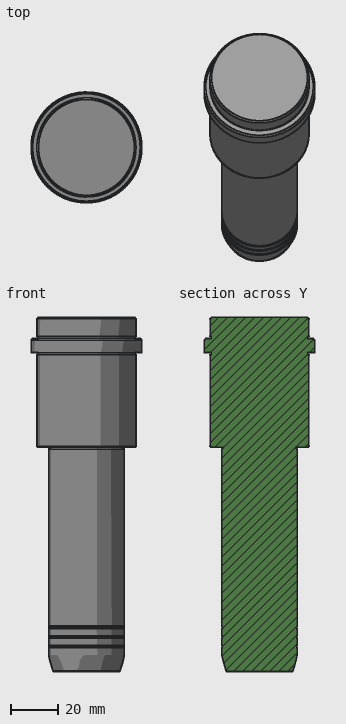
import cadquery as cq

length = 150.0
collar_diameter = 47.0
collar_radius = collar_diameter / 2
body_radius = 21.0
pin_radius = 16.0

collar_top = 141.0
collar_bottom = 135.0
body_bottom = 95.0

edge_chamfer = 0.5
upper_chamfer = 0.8
undercut_width = 0.9
undercut_depth = 0.5

lead_in_height = 7.0
tip_radius = 14.2
lead_in_mid_radius = 15.3

groove_count = 3
groove_pitch = 4.0
lowest_groove = 10.6
groove_width = 1.2
groove_depth = 0.3


def cylinder(radius, bottom, top):
    """Solid cylinder on the Z axis between two heights."""
    return cq.Workplane("XY").workplane(offset=bottom).circle(radius).extrude(top - bottom)


def make_pin():
    """Long pin with a rounded lead-in that ends in a small chamfer."""
    lead_in_mid = (lead_in_mid_radius, (edge_chamfer + lead_in_height) / 2)
    return (
        cq.Workplane("XZ")
        .lineTo(tip_radius - edge_chamfer, 0)
        .lineTo(tip_radius, edge_chamfer)
        .threePointArc(lead_in_mid, (pin_radius, lead_in_height))
        .lineTo(pin_radius, body_bottom - upper_chamfer)
        .lineTo(pin_radius - upper_chamfer, body_bottom)
        .lineTo(0, body_bottom)
        .close()
        .revolve(360, (0, 0), (0, 1))
    )


def make_head():
    """Body, collar and cap, joined through the undercuts."""
    neck = cylinder(body_radius - undercut_depth, body_bottom + edge_chamfer, length - upper_chamfer)
    body = cylinder(body_radius, body_bottom, collar_bottom - undercut_width)
    collar = cylinder(collar_radius, collar_bottom, collar_top)
    cap = cylinder(body_radius, collar_top + undercut_width, length)
    body = body.faces("<Z").chamfer(edge_chamfer)
    collar = collar.faces(">Z").chamfer(upper_chamfer)
    cap = cap.faces(">Z").chamfer(upper_chamfer)
    return neck.union(body).union(collar).union(cap)


def groove_cutter(height):
    """Ring with a V section that opens at the pin surface."""
    half_width = groove_width / 2
    return (
        cq.Workplane("XZ")
        .moveTo(pin_radius - groove_depth, height)
        .lineTo(pin_radius, height + half_width)
        .lineTo(pin_radius + groove_depth, height + half_width)
        .lineTo(pin_radius + groove_depth, height - half_width)
        .lineTo(pin_radius, height - half_width)
        .close()
        .revolve(360, (0, 0), (0, 1))
    )


pin = make_pin()
for index in range(groove_count):
    pin = pin.cut(groove_cutter(lowest_groove + index * groove_pitch))

result = pin.union(make_head())